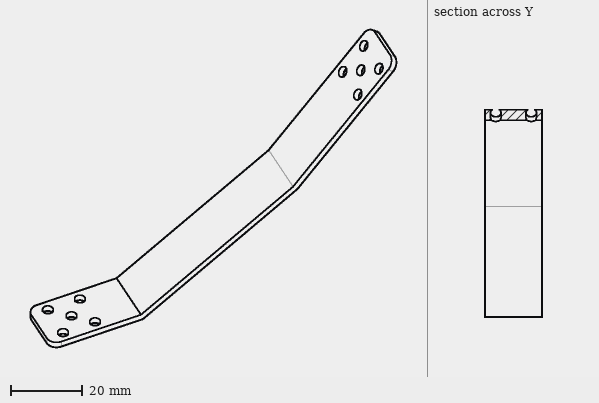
import cadquery as cq
import math

width = 16.0
thickness = 2.0
corner_radius = 3.0

foot_length = 28.4
middle_angle = 33.0
upper_angle = 48.9
overall_length = 108.0
overall_height = 68.8

hole_diameter = 3.0
hole_pitch = 9.9
foot_hole_offset = 10.0
upper_hole_offset = 10.3


def direction(angle):
    """Unit vector (Y, Z) along a leg inclined at the given angle."""
    return math.cos(math.radians(angle)), math.sin(math.radians(angle))


middle_y, middle_z = direction(middle_angle)
upper_y, upper_z = direction(upper_angle)

tip_y = overall_length
tip_z = overall_height - thickness * upper_y

middle_length = (
    (tip_y - foot_length) * upper_z - tip_z * upper_y
) / (middle_y * upper_z - middle_z * upper_y)
bend_y = foot_length + middle_length * middle_y
bend_z = middle_length * middle_z


def mitre_point(y, z, angle_before, angle_after):
    """Top-surface point opposite an underside bend at constant thickness."""
    half_turn = math.radians(angle_after - angle_before) / 2
    normal_y, normal_z = direction((angle_before + angle_after) / 2 + 90)
    reach = thickness / math.cos(half_turn)
    return y + normal_y * reach, z + normal_z * reach


strap = (
    cq.Workplane("YZ")
    .moveTo(0, 0)
    .lineTo(foot_length, 0)
    .lineTo(bend_y, bend_z)
    .lineTo(tip_y, tip_z)
    .lineTo(tip_y - thickness * upper_z, overall_height)
    .lineTo(*mitre_point(bend_y, bend_z, middle_angle, upper_angle))
    .lineTo(*mitre_point(foot_length, 0, 0, middle_angle))
    .lineTo(0, thickness)
    .close()
    .extrude(width / 2, both=True)
)

foot_plane = cq.Plane(origin=(0, 0, 0), xDir=(1, 0, 0), normal=(0, 0, 1))
upper_plane = cq.Plane(
    origin=(0, tip_y, tip_z), xDir=(-1, 0, 0), normal=(0, -upper_z, upper_y)
)


def round_end_corners(body, plane):
    """Round the two corners of the end that lies on the plane's local X axis."""
    edges = [
        edge
        for edge in body.edges(cq.selectors.ParallelDirSelector(plane.zDir)).vals()
        if abs(edge.Center().sub(plane.origin).dot(plane.yDir)) < thickness / 2
    ]
    return body.newObject(edges).fillet(corner_radius)


def hole_pattern(plane, center_offset):
    """Cutters for four holes in a square with a fifth at its centre."""
    half_pitch = hole_pitch / 2
    corners = [(x, y) for x in (-half_pitch, half_pitch) for y in (-half_pitch, half_pitch)]
    return (
        cq.Workplane(plane)
        .center(0, center_offset)
        .pushPoints([(0, 0)] + corners)
        .circle(hole_diameter / 2)
        .extrude(thickness)
    )


for end_plane, hole_offset in ((foot_plane, foot_hole_offset), (upper_plane, upper_hole_offset)):
    strap = round_end_corners(strap, end_plane)
    strap = strap.cut(hole_pattern(end_plane, hole_offset))

result = strap